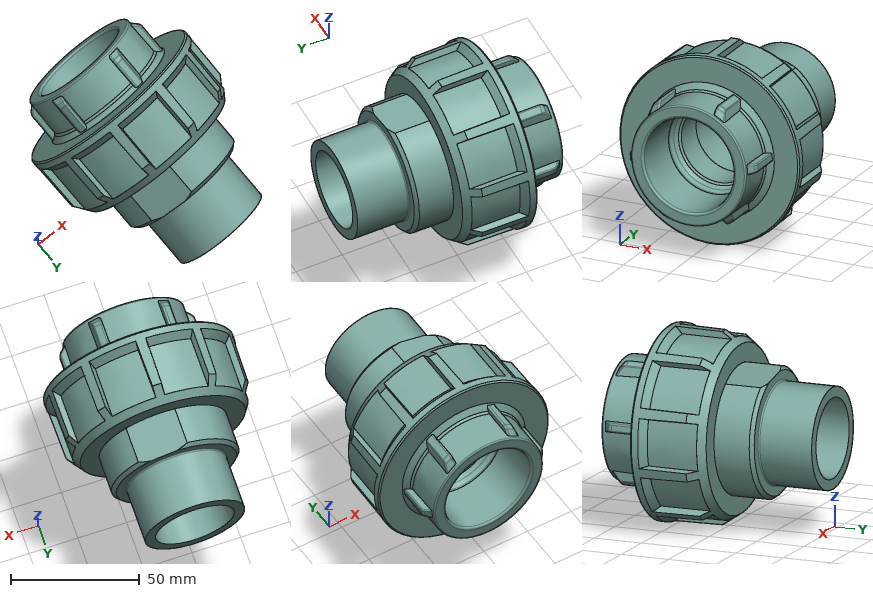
import cadquery as cq
import math


length = 87.0
nut_front = 18.1
nut_back = 48.2
joint = 39.15
nut_lip = 43.5

bore_radius = 16.2
thread_radius = 28.3
collar_radius = 26.2

socket_end_radius = 24.9
socket_base_radius = 25.1
socket_end_fillet = 0.6
flare_start = 15.2
flare_foot = 16.3
flare_foot_radius = 25.75
mouth_radius = 19.6
mouth_fillet = 1.0
socket_depth = 21.3
socket_depth_radius = 19.2
seat_front = 21.75
seat_front_radius = 19.0
seat_middle = 23.8
seat_middle_radius = 18.2
seat_back = 25.6
seat_back_radius = 17.05
throat = 26.3

grip_tilt = 4.8
grip_radius = 27.7
grip_spacing = 60
grip_front = 1.8
grip_half_width = 1.65
grip_draft = 10.0
grip_nose_angle = 45
grip_nose_radius = 2.6
grip_edge_fillet = 0.6
grip_root_depth = 10.4
grip_overshoot = 1.7

pipe_radius = 20.45
collar_back = 64.55
collar_chamfer = 1.5
pipe_fillet = 0.5
flat_distance = 24.1
flat_tilt = 12.2

nut_radius = 78.0 / 2
nut_front_chamfer = 0.6
nut_back_radius = 33.9
shoulder = 41.15
shoulder_radius = 38.7
pocket_front = 21.4
pocket_floor_front = 24.3
pocket_back = 45.1
floor_front_radius = 36.2
floor_back_radius = 36.0
nut_rib_count = 10
nut_rib_front_half = 2.1
nut_rib_back_half = 1.8


def revolve_about_y(sketch):
    """Close an XY outline (X = radius) and turn it about the Y axis."""
    return sketch.close().revolve(360, (0, 0, 0), (0, 1, 0))


def turn(solid, degrees):
    """Rotate about Y, counting positive from +X towards +Z."""
    return solid.rotate((0, 0, 0), (0, 1, 0), -degrees)


def grip_envelope():
    """Ring that limits the grip ribs: a round crest, a rounded nose and a sloping front."""
    slope = math.radians(grip_nose_angle)
    root = (mouth_radius + socket_base_radius) / 2
    corner = grip_front + (grip_radius - socket_base_radius) / math.tan(slope)
    tangent = grip_nose_radius * math.tan(slope / 2)
    nose_back = corner + tangent
    nose_centre_radius = grip_radius - grip_nose_radius

    def nose_point(angle):
        return (
            nose_centre_radius + grip_nose_radius * math.cos(angle),
            nose_back - grip_nose_radius * math.sin(angle),
        )

    return revolve_about_y(
        cq.Workplane("XY")
        .moveTo(root, nut_front)
        .lineTo(grip_radius, nut_front)
        .lineTo(grip_radius, nose_back)
        .threePointArc(nose_point(slope / 2), nose_point(slope))
        .lineTo(root, grip_front - (socket_base_radius - root) / math.tan(slope))
    )


def grip_rib(envelope, offset, crest):
    """Rib pointing along +Z and centred at X = offset, tapering to a rounded crest."""
    slope = math.tan(math.radians(grip_draft))
    root_half = grip_half_width + grip_root_depth * slope
    tip_half = grip_half_width - grip_overshoot * slope
    root = crest - grip_root_depth
    tip = crest + grip_overshoot
    blade = (
        cq.Workplane("XZ")
        .polyline([
            (offset - root_half, root),
            (offset + root_half, root),
            (offset + tip_half, tip),
            (offset - tip_half, tip),
        ])
        .close()
        .extrude(-nut_front)
    )
    rib = envelope.intersect(blade)
    return rib.edges("|Y").edges(">Y").fillet(grip_edge_fillet)


def grip_ribs():
    """Two ribs on the parting plane and four whose flanks follow the mould's draw."""
    envelope = grip_envelope()
    spread = grip_radius * math.cos(math.radians(grip_spacing))
    crest = grip_radius * math.sin(math.radians(grip_spacing))
    side_rib = grip_rib(envelope, 0, grip_radius)
    ribs = [turn(side_rib, 90), turn(side_rib, -90)]
    for offset in (-spread, spread):
        rib = grip_rib(envelope, offset, crest)
        ribs += [rib, turn(rib, 180)]
    return [turn(rib, grip_tilt) for rib in ribs]


def make_socket():
    body = revolve_about_y(
        cq.Workplane("XY")
        .moveTo(mouth_radius, 0)
        .lineTo(socket_end_radius, 0)
        .lineTo(socket_base_radius, flare_start)
        .lineTo(flare_foot_radius, flare_foot)
        .lineTo(thread_radius, nut_front)
        .lineTo(thread_radius, joint)
        .lineTo(bore_radius, joint)
        .lineTo(bore_radius, throat)
        .lineTo(seat_back_radius, seat_back)
        .lineTo(seat_middle_radius, seat_middle)
        .lineTo(seat_front_radius, seat_front)
        .lineTo(socket_depth_radius, socket_depth)
    )
    outer_edge = cq.selectors.RadiusNthSelector(-1)
    inner_edge = cq.selectors.RadiusNthSelector(0)
    body = body.faces("<Y").edges(outer_edge).fillet(socket_end_fillet)
    body = body.faces("<Y").edges(inner_edge).fillet(mouth_fillet)
    for rib in grip_ribs():
        body = body.union(rib)
    return body


def make_tail():
    body = revolve_about_y(
        cq.Workplane("XY")
        .moveTo(bore_radius, joint)
        .lineTo(thread_radius, joint)
        .lineTo(thread_radius, nut_lip)
        .lineTo(collar_radius, nut_lip)
        .lineTo(collar_radius, collar_back - collar_chamfer)
        .lineTo(collar_radius - collar_chamfer, collar_back)
        .lineTo(pipe_radius + pipe_fillet, collar_back)
        .radiusArc((pipe_radius, collar_back + pipe_fillet), pipe_fillet)
        .lineTo(pipe_radius, length)
        .lineTo(bore_radius, length)
    )
    flat_depth = thread_radius - flat_distance
    flat_length = collar_back - nut_lip
    for side in (0, 180):
        cutter = cq.Workplane("XY").box(
            2 * thread_radius, flat_length, flat_depth, centered=(True, False, False)
        )
        cutter = cutter.translate((0, nut_lip, flat_distance))
        body = body.cut(turn(cutter, side - flat_tilt))
    return body


def nut_envelope():
    return revolve_about_y(
        cq.Workplane("XY")
        .moveTo(thread_radius, nut_front)
        .lineTo(nut_radius - nut_front_chamfer, nut_front)
        .lineTo(nut_radius, nut_front + nut_front_chamfer)
        .lineTo(shoulder_radius, shoulder)
        .lineTo(nut_back_radius, nut_back)
        .lineTo(collar_radius, nut_back)
        .lineTo(collar_radius, nut_lip)
        .lineTo(thread_radius, nut_lip)
    )


def pocket_ring():
    """Material taken from between the ribs, as a full ring."""
    return revolve_about_y(
        cq.Workplane("XY")
        .moveTo(nut_radius, pocket_front)
        .lineTo(floor_front_radius, pocket_floor_front)
        .lineTo(floor_back_radius, pocket_back)
        .lineTo(nut_radius, pocket_back)
    )


def nut_rib():
    """Wedge-shaped blade along +Z that keeps one rib standing."""
    root = thread_radius
    return (
        cq.Workplane("XY", origin=(0, 0, root))
        .polyline([
            (-nut_rib_front_half, pocket_front),
            (nut_rib_front_half, pocket_front),
            (nut_rib_back_half, pocket_back),
            (-nut_rib_back_half, pocket_back),
        ])
        .close()
        .extrude(nut_radius - root)
    )


def make_nut():
    pockets = pocket_ring()
    blade = nut_rib()
    for index in range(nut_rib_count):
        pockets = pockets.cut(turn(blade, index * 360 / nut_rib_count))
    return nut_envelope().cut(pockets)


socket = make_socket().solids()
tail = make_tail().solids()
nut = make_nut().solids()

result = cq.Compound.makeCompound([socket.val(), tail.val(), nut.val()])